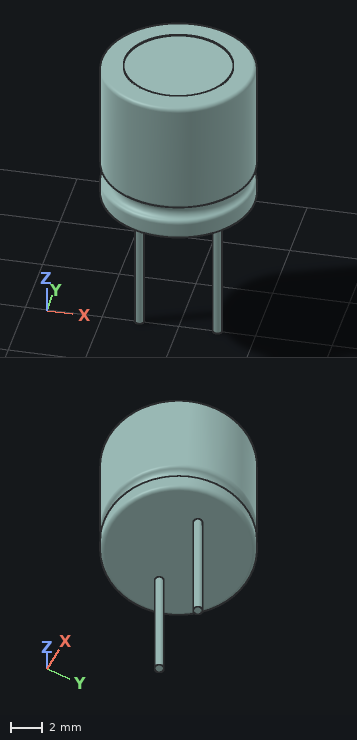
import cadquery as cq
import math

can_diameter = 10.0
can_height = 10.0
edge_radius = 0.3

groove_radius = 0.5
groove_height = 1.85

vent_diameter = 7.0
vent_depth = 0.08

lead_diameter = 0.6
lead_length = 10.0
lead_spacing = 5.08

can_radius = can_diameter / 2
lip_center_radius = can_radius - edge_radius

lip_offset = math.sqrt((groove_radius + edge_radius) ** 2 - edge_radius**2)
groove_share = groove_radius / (groove_radius + edge_radius)
tangent_radius = can_radius - edge_radius * groove_share
tangent_offset = lip_offset * groove_share


def make_can():
    """Revolve the can profile, with rounded rims and the rolled groove."""
    lower_lip = groove_height - lip_offset
    upper_lip = groove_height + lip_offset
    profile = (
        cq.Workplane("XZ")
        .lineTo(lip_center_radius, 0)
        .radiusArc((can_radius, edge_radius), -edge_radius)
        .lineTo(can_radius, lower_lip)
        .radiusArc((tangent_radius, groove_height - tangent_offset), -edge_radius)
        .threePointArc(
            (can_radius - groove_radius, groove_height),
            (tangent_radius, groove_height + tangent_offset),
        )
        .radiusArc((can_radius, upper_lip), -edge_radius)
        .lineTo(can_radius, can_height - edge_radius)
        .radiusArc((lip_center_radius, can_height), -edge_radius)
        .lineTo(0, can_height)
        .close()
    )
    return profile.revolve(360, (0, 0, 0), (0, 1, 0))


def cut_vent(can):
    """Sink the shallow round vent panel into the top of the can."""
    return can.faces(">Z").workplane().circle(vent_diameter / 2).cutBlind(-vent_depth)


def make_leads():
    """Two round wires spaced evenly along X, hanging from the can base."""
    half_spacing = lead_spacing / 2
    return (
        cq.Workplane("XY")
        .pushPoints([(-half_spacing, 0), (half_spacing, 0)])
        .circle(lead_diameter / 2)
        .extrude(-lead_length)
    )


result = cut_vent(make_can()).union(make_leads())